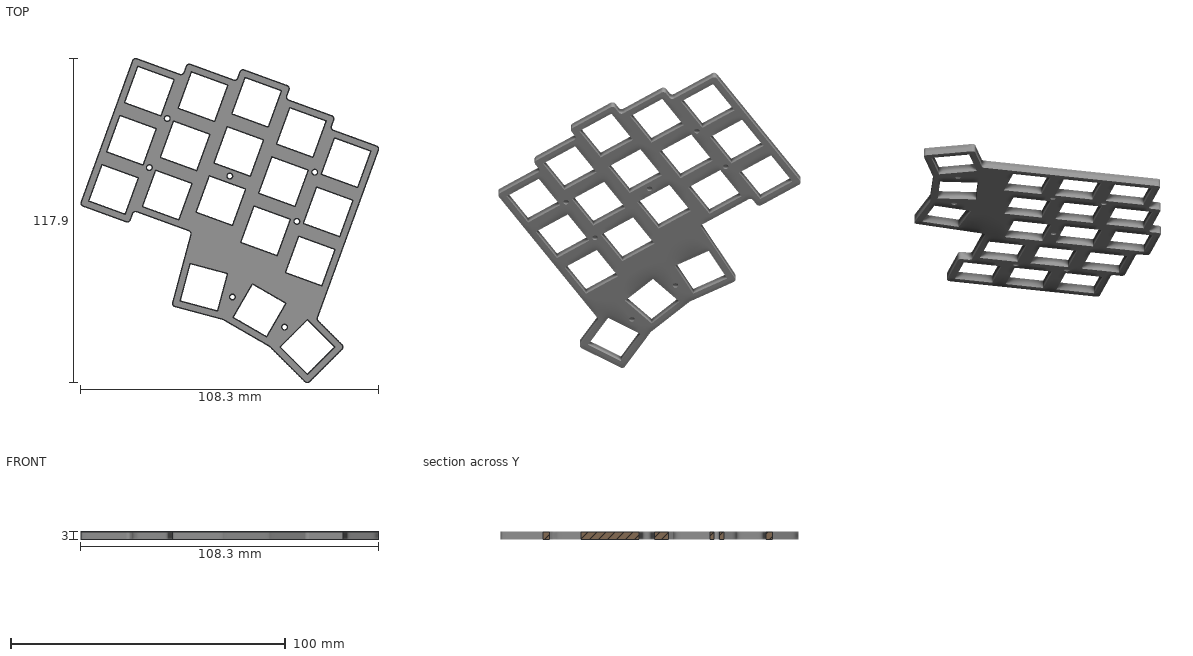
import cadquery as cq
import math

plate_thickness = 3.0
finger_grid_width = 95.2
switch_opening = 14.0
screw_diameter = 2.0
corner_radius = 1.2
finger_tilt = -20
finger_columns = (-2, -1, 0, 1, 2)
finger_rows = (-1, 0, 1)

thumb_tilts = (-15, -30, -45)
thumb_arc_radius = 84.0
middle_thumb_x = 7.5
middle_thumb_y = -57.8

key_pitch = finger_grid_width / len(finger_columns)
half_cell = key_pitch / 2
half_column = key_pitch * len(finger_rows) / 2
column_drop = key_pitch / 4
first_tilt, middle_tilt, last_tilt = thumb_tilts
half_thumb_step = (first_tilt - middle_tilt) / 2


def turned(x, y, angle):
    """Rotate a point about the origin by an angle in degrees."""
    c = math.cos(math.radians(angle))
    s = math.sin(math.radians(angle))
    return (x * c - y * s, x * s + y * c)


def finger_point(x, y):
    """Turn a point of the finger grid into plate coordinates."""
    return turned(x, y, finger_tilt)


def column_height(column):
    """Height of a column's middle key within the finger grid."""
    return -abs(column) * column_drop


def thumb_point(tilt, along=0, outward=0):
    """Point on the thumb arc, shifted along the tangent and away from the arc centre."""
    middle = turned(0, thumb_arc_radius, middle_tilt)
    point = turned(along, thumb_arc_radius + outward, tilt)
    return (
        middle_thumb_x + point[0] - middle[0],
        middle_thumb_y + point[1] - middle[1],
    )


def line_crossing(point_a, angle_a, point_b, angle_b):
    """Crossing of two lines, each given by a point and a direction in degrees."""
    ax, ay = turned(1, 0, angle_a)
    bx, by = turned(1, 0, angle_b)
    dx = point_b[0] - point_a[0]
    dy = point_b[1] - point_a[1]
    distance = (dx * by - dy * bx) / (ax * by - ay * bx)
    return (point_a[0] + distance * ax, point_a[1] + distance * ay)


def stepped_top():
    """Outline points across the tops of the finger columns, left to right."""
    points = []
    for column in finger_columns:
        centre = column * key_pitch
        top = column_height(column) + half_column
        points.append(finger_point(centre - half_cell, top))
        points.append(finger_point(centre + half_cell, top))
    return points


def thumb_edge():
    """Outline points around the thumb keys, from the right side of the grid to the left."""
    joint = (thumb_arc_radius - half_cell) * math.tan(math.radians(half_thumb_step))
    grid_right = finger_point(finger_grid_width / 2, 0)
    last_outer_corner = thumb_point(last_tilt, half_cell, half_cell)
    return [
        line_crossing(grid_right, finger_tilt + 90, last_outer_corner, last_tilt),
        last_outer_corner,
        thumb_point(last_tilt, half_cell, -half_cell),
        thumb_point(middle_tilt, joint, -half_cell),
        thumb_point(middle_tilt, -joint, -half_cell),
        thumb_point(first_tilt, -half_cell, -half_cell),
    ]


def stepped_bottom():
    """Outline points under the two leftmost columns, right to left."""
    first, second = finger_columns[:2]
    first_bottom = column_height(first) - half_column
    second_bottom = column_height(second) - half_column
    first_left = first * key_pitch - half_cell
    first_right = first * key_pitch + half_cell
    step_corner = finger_point(first_right, second_bottom)
    thumb_corner = thumb_point(first_tilt, -half_cell, -half_cell)
    return [
        line_crossing(step_corner, finger_tilt, thumb_corner, first_tilt + 90),
        step_corner,
        finger_point(first_right, first_bottom),
        finger_point(first_left, first_bottom),
    ]


def switch_cutter(centre, tilt):
    """Square prism that cuts one switch opening."""
    return (
        cq.Workplane("XY")
        .rect(switch_opening, switch_opening)
        .extrude(plate_thickness)
        .rotate((0, 0, 0), (0, 0, 1), tilt)
        .translate((centre[0], centre[1], 0))
    )


def screw_points():
    """Screw hole centres, all of them between keys."""
    boundary = key_pitch + half_cell
    upper = column_drop / 2
    lower = upper - key_pitch
    points = [finger_point(x, y) for x in (-boundary, boundary) for y in (upper, lower)]
    points.append(finger_point(0, -half_cell))
    points.append(thumb_point(middle_tilt + half_thumb_step))
    points.append(thumb_point(middle_tilt - half_thumb_step))
    return points


outline = stepped_top() + thumb_edge() + stepped_bottom()
plate = cq.Workplane("XY").polyline(outline).close().extrude(plate_thickness)
plate = plate.edges("|Z").fillet(corner_radius)

for column in finger_columns:
    for row in finger_rows:
        key_centre = finger_point(column * key_pitch, column_height(column) + row * key_pitch)
        plate = plate.cut(switch_cutter(key_centre, finger_tilt))

for tilt in thumb_tilts:
    plate = plate.cut(switch_cutter(thumb_point(tilt), tilt))

screw_holes = (
    cq.Workplane("XY")
    .pushPoints(screw_points())
    .circle(screw_diameter / 2)
    .extrude(plate_thickness)
)

result = plate.cut(screw_holes)